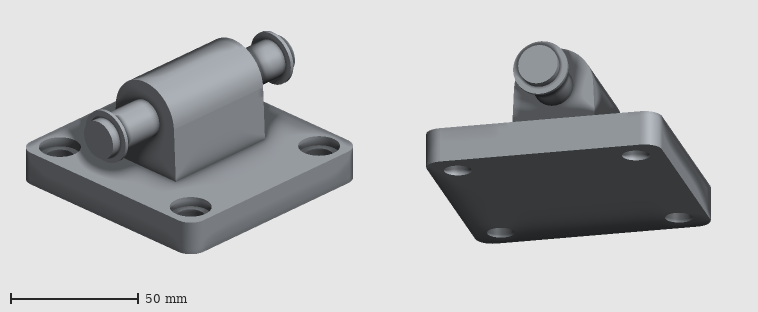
import cadquery as cq
import math

plate_side = 95.0
plate_thickness = 14.0
plate_corner_radius = 7.0

hole_spacing = 72.0
hole_diameter = 11.0
counterbore_diameter = 16.5
counterbore_depth = 4.0

block_length = 50.0
block_base_width = 34.0
block_top_radius = 16.0
pin_axis_height = 36.0

pin_diameter = 16.0
pin_length = 102.0
ring_diameter = 22.0
ring_thickness = 1.5
ring_inner_spacing = 91.2


def along_y(profile, length):
    """Extrude an XZ profile by length, centred on Y = 0."""
    return profile.extrude(length).translate((0, length / 2, 0))


def make_plate():
    return (
        cq.Workplane("XY")
        .rect(plate_side, plate_side)
        .extrude(plate_thickness)
        .edges("|Z")
        .fillet(plate_corner_radius)
    )


def make_block():
    half_base = block_base_width / 2
    axis_above_plate = pin_axis_height - plate_thickness
    corner_distance = math.hypot(half_base, axis_above_plate)
    corner_angle = math.atan2(-axis_above_plate, half_base)
    tangent_angle = corner_angle + math.acos(block_top_radius / corner_distance)
    tangent_x = block_top_radius * math.cos(tangent_angle)
    tangent_z = pin_axis_height + block_top_radius * math.sin(tangent_angle)
    profile = (
        cq.Workplane("XZ")
        .moveTo(-half_base, plate_thickness)
        .lineTo(half_base, plate_thickness)
        .lineTo(tangent_x, tangent_z)
        .threePointArc((0, pin_axis_height + block_top_radius), (-tangent_x, tangent_z))
        .close()
    )
    return along_y(profile, block_length)


def make_pin():
    return along_y(
        cq.Workplane("XZ").center(0, pin_axis_height).circle(pin_diameter / 2), pin_length
    )


def make_ring(side):
    """Retaining ring on the +Y (side = 1) or -Y (side = -1) end of the pin."""
    ring_centre = side * (ring_inner_spacing + ring_thickness) / 2
    ring = along_y(
        cq.Workplane("XZ").center(0, pin_axis_height).circle(ring_diameter / 2), ring_thickness
    )
    return ring.translate((0, ring_centre, 0))


def cut_mounting_holes(plate):
    return (
        plate.faces(">Z")
        .workplane(origin=(0, 0, plate_thickness))
        .rect(hole_spacing, hole_spacing, forConstruction=True)
        .vertices()
        .cboreHole(hole_diameter, counterbore_diameter, counterbore_depth)
    )


result = cut_mounting_holes(make_plate()).union(make_block()).union(make_pin())
for side in (-1, 1):
    result = result.union(make_ring(side))